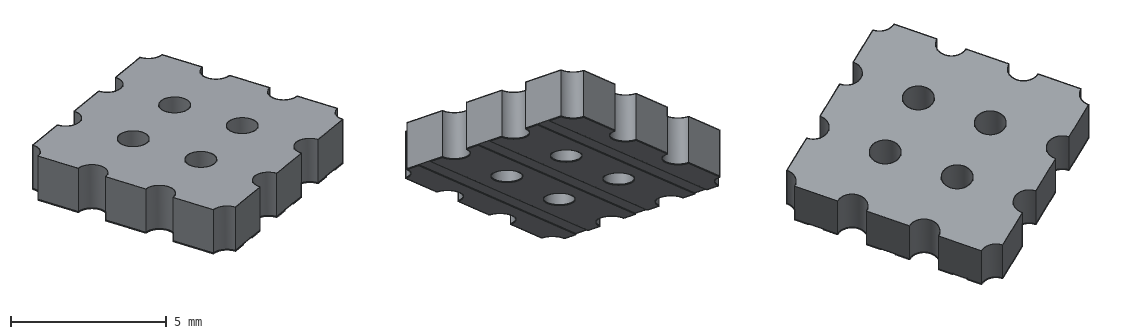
import cadquery as cq

board_side = 7.62
board_thickness = 1.6
strip_thickness = 0.035
hole_diameter = 1.02
holes_per_side = 4
strip_gap = 0.51

hole_pitch = board_side / (holes_per_side - 1)
strip_width = hole_pitch - strip_gap
total_height = board_thickness + strip_thickness
half_side = board_side / 2
row_positions = [-half_side + i * hole_pitch for i in range(holes_per_side)]


def cut_hole_grid(body):
    """Cut the through holes; those on the border leave half and quarter notches."""
    hole_centers = [(x, y) for x in row_positions for y in row_positions]
    holes = (
        cq.Workplane("XY")
        .pushPoints(hole_centers)
        .circle(hole_diameter / 2)
        .extrude(total_height)
    )
    return body.cut(holes)


def make_board():
    """Square insulating board lying on top of the strips."""
    blank = (
        cq.Workplane("XY")
        .workplane(offset=strip_thickness)
        .rect(board_side, board_side)
        .extrude(board_thickness)
    )
    return cut_hole_grid(blank)


def make_strip(row_y):
    """Thin strip along X under one hole row, trimmed at the board edges."""
    y_min = max(row_y - strip_width / 2, -half_side)
    y_max = min(row_y + strip_width / 2, half_side)
    blank = (
        cq.Workplane("XY")
        .center(0, (y_min + y_max) / 2)
        .rect(board_side, y_max - y_min)
        .extrude(strip_thickness)
    )
    return cut_hole_grid(blank)


board = make_board()
strips = [make_strip(row_y) for row_y in row_positions]

strip_solids = [solid for strip in strips for solid in strip.solids().vals()]
result = cq.Compound.makeCompound([board.solids().val(), *strip_solids])